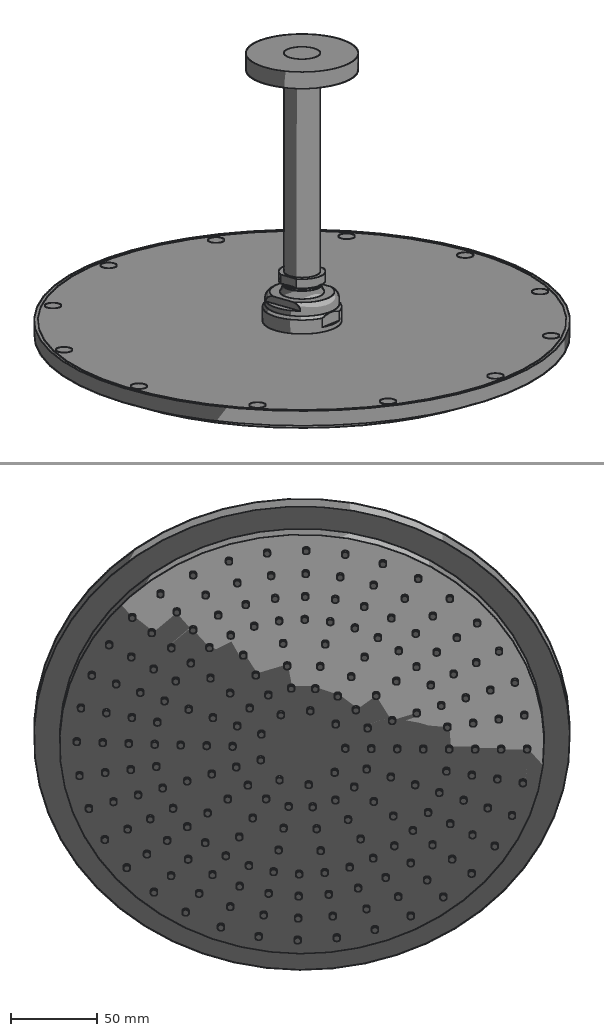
import cadquery as cq
import math


disc_dia = 310.0
disc_thickness = 9.0
tray_dia = 305.7
tray_depth = 0.15
screw_count = 12
screw_dia = 9.5
screw_circle_radius = 146.3
screw_recess_depth = 0.15

spray_plate_dia = 280.2
spray_plate_edge_z = -15.8
dome_drop = 3.0
dome_radius = ((spray_plate_dia / 2) ** 2 + dome_drop**2) / (2 * dome_drop)

nozzle_dia = 4.0
nozzle_length = 2.0
first_ring_radius = 25.0
last_ring_radius = 130.2
nozzles_per_ring = [9, 18, 18, 18, 36, 36, 36, 36]
ring_spacing = (last_ring_radius - first_ring_radius) / (len(nozzles_per_ring) - 1)
nozzle_embed = 1.5

base_dia = 46.0
base_top = 8.5
base_flat_offset = 21.7
base_flat_bottom = 2.8
cap_dia = 43.0
cap_bottom = 10.2
cap_ledge = 13.3
cap_top = 17.7
cap_top_dia = 37.5
cap_rounding = 4.5
cap_flat_offset = 17.0
neck_dia = 23.0
neck_top = 22.0
neck_foot_dia = 25.7
neck_flare_radius = 7.5

tube_dia = 21.0
groove_dia = 22.3
groove_top = 23.2
collar_dia = 27.0
collar_bottom = 24.5
collar_top = 30.0
collar_flat_offset = 12.0
arm_top = 164.3

flange_dia = 65.0
flange_thickness = 10.2


def cylinder(dia, bottom, top):
    return cq.Workplane("XY").workplane(offset=bottom).circle(dia / 2).extrude(top - bottom)


def revolve_about_z(profile):
    return profile.close().revolve(360, (0, 0, 0), (0, 1, 0))


def dome_z(radius):
    """Height of the spray plate's domed underside at a distance from the axis."""
    center_z = spray_plate_edge_z - dome_drop + dome_radius
    return center_z - math.sqrt(dome_radius**2 - radius**2)


def cut_flats(body, offset, bottom, top, angle):
    """Cut two opposite flats, at the given distance from the axis, between two heights."""
    width = disc_dia
    for turn in (angle, angle + 180):
        waste = (
            cq.Workplane("XY")
            .box(width, width, top - bottom, centered=(False, True, False))
            .translate((offset, 0, bottom))
            .rotate((0, 0, 0), (0, 0, 1), turn)
        )
        body = body.cut(waste)
    return body


def make_disc():
    disc_radius = disc_dia / 2
    plate_radius = spray_plate_dia / 2
    disc = revolve_about_z(
        cq.Workplane("XZ")
        .lineTo(disc_radius, 0)
        .lineTo(disc_radius, -disc_thickness)
        .lineTo(plate_radius, -disc_thickness)
        .lineTo(plate_radius, spray_plate_edge_z)
        .radiusArc((0, dome_z(0)), dome_radius)
    )
    screw_recesses = (
        cq.Workplane("XY")
        .workplane(offset=-tray_depth - screw_recess_depth)
        .polarArray(screw_circle_radius, 0, 360, screw_count)
        .circle(screw_dia / 2)
        .extrude(screw_recess_depth)
    )
    return disc.cut(cylinder(tray_dia, -tray_depth, 0)).cut(screw_recesses)


def make_nozzle_ring(radius, count):
    return (
        cq.Workplane("XY")
        .workplane(offset=dome_z(radius) - nozzle_length)
        .polarArray(radius, 0, 360, count)
        .circle(nozzle_dia / 2)
        .extrude(nozzle_length + nozzle_embed)
    )


def make_joint():
    joint = revolve_about_z(
        cq.Workplane("XZ")
        .moveTo(0, -tray_depth)
        .lineTo(base_dia / 2, -tray_depth)
        .lineTo(base_dia / 2, base_top)
        .lineTo(cap_dia / 2, cap_bottom)
        .lineTo(cap_dia / 2, cap_ledge)
        .radiusArc((cap_top_dia / 2, cap_top), -cap_rounding)
        .lineTo(neck_foot_dia / 2, cap_top)
        .radiusArc((neck_dia / 2, neck_top), neck_flare_radius)
        .lineTo(0, neck_top)
    )
    joint = cut_flats(joint, base_flat_offset, base_flat_bottom, cap_bottom, 0)
    return cut_flats(joint, cap_flat_offset, cap_ledge, cap_top, 90)


def make_head():
    head = make_disc().union(make_joint())
    nozzles = []
    for index, count in enumerate(nozzles_per_ring):
        nozzles += make_nozzle_ring(first_ring_radius + index * ring_spacing, count).vals()
    return head.newObject([head.val().fuse(*nozzles)])


def make_arm():
    collar = cylinder(collar_dia, collar_bottom, collar_top)
    collar = cut_flats(collar, collar_flat_offset, collar_bottom, collar_top, 90)
    return (
        cylinder(groove_dia, neck_top, groove_top)
        .union(cylinder(neck_dia, groove_top, collar_bottom))
        .union(collar)
        .union(cylinder(tube_dia, collar_top, arm_top))
    )


def make_flange():
    flange_bottom = arm_top - flange_thickness
    return cylinder(flange_dia, flange_bottom, arm_top).cut(cylinder(tube_dia, flange_bottom, arm_top))


head = make_head()
arm = make_arm()
flange = make_flange()

result = cq.Compound.makeCompound([head.val(), arm.val(), flange.val()])